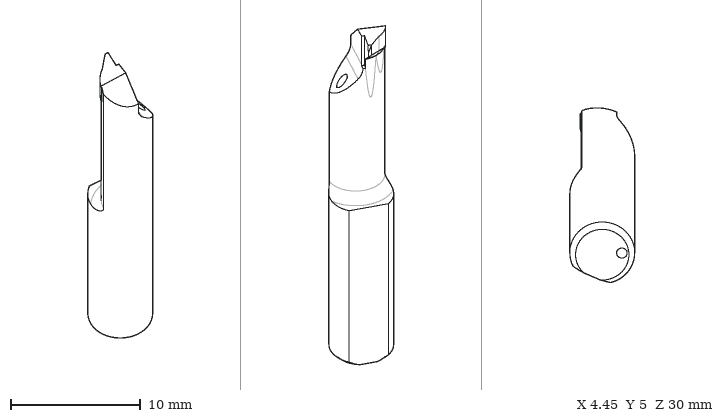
import cadquery as cq
import math

length = 30.0
shank_diameter = 5.0
shank_radius = shank_diameter / 2
width = 4.45
flat_x = width - shank_radius
shank_top = 14.8
end_chamfer = 0.45

neck_radius = 2.25
neck_left = -0.78
neck_center = neck_left + neck_radius
neck_fillet = 0.8
coolant_diameter = 0.8
coolant_x = 0.75
coolant_y = 1.32

head_bottom = 28.0
rake_wall_y = 0.1
tip_x = -1.85
tip_top_x = -1.75
tip_bend_z = 29.35
tip_bottom = 28.98
flank_x = -1.75
flank_y = -0.3
arc_start = (-0.7, -1.2)
arc_middle = (-0.03, -1.83)
arc_end = (0.75, -2.2)
top_drop = 0.1
corner_x = 0.65
top_relief = 0.07
underside_relief = 0.5

back_slope_foot = 24.1
back_slope_angle = 50.0
back_blend_radius = 1.65
groove_bottom = 27.15
groove_x = -0.35
groove_tip_y = 0.0
groove_depth_y = -0.15

facets = [(14.0, 24.27, 0.05), (42.6, 26.07, 0.085)]

margin = 3.0


def oblique_prism(points, rise):
    """Extrude an XZ polygon through the part along -Y, climbing by rise per unit."""
    start_y = margin
    travel = 2 * margin
    corners = [cq.Vector(x, start_y, z - rise * start_y) for x, z in points]
    wire = cq.Wire.makePolygon(corners, close=True)
    direction = cq.Vector(0, -travel, rise * travel)
    return cq.Workplane(obj=cq.Solid.extrudeLinear(wire, [], direction))


def make_shank():
    bar = cq.Workplane().circle(shank_radius).extrude(shank_top)
    bar = bar.faces("<Z").chamfer(end_chamfer)
    return bar.intersect(
        cq.Workplane().box(2 * margin, 2 * margin, length, centered=(False, True, False))
        .translate((-flat_x, 0, 0))
    )


def make_neck():
    fillet_top = shank_top + neck_fillet
    flare_radius = neck_radius + neck_fillet
    fillet_offset = neck_fillet * (1 - math.sqrt(0.5))
    flared = (
        cq.Workplane("XZ")
        .moveTo(0, shank_top)
        .lineTo(flare_radius, shank_top)
        .threePointArc(
            (neck_radius + fillet_offset, shank_top + fillet_offset),
            (neck_radius, fillet_top),
        )
        .lineTo(neck_radius, length)
        .lineTo(0, length)
        .close()
        .revolve(360, (0, 0), (0, 1))
        .translate((neck_center, 0, 0))
    )
    bar = cq.Workplane().circle(shank_radius).extrude(length)
    return flared.intersect(bar)


def facet_cutter(angle, low_z, depth):
    """Block whose inner face leans into the neck with increasing height."""
    height = head_bottom - low_z
    return (
        cq.Workplane("XZ")
        .polyline([
            (-neck_radius, low_z),
            (-neck_radius + depth, head_bottom),
            (-neck_radius - height, head_bottom),
        ])
        .close()
        .extrude(margin / 2, both=True)
        .rotate((0, 0, 0), (0, 0, 1), angle)
        .translate((neck_center, 0, 0))
    )


def make_head():
    outline = (
        cq.Workplane("XY", origin=(0, 0, head_bottom))
        .moveTo(tip_x, rake_wall_y)
        .lineTo(tip_x, 0)
        .lineTo(flank_x, flank_y)
        .lineTo(*arc_start)
        .threePointArc(arc_middle, arc_end)
        .lineTo(neck_center, rake_wall_y)
        .close()
        .extrude(length - head_bottom)
    )
    underside_slope = (tip_bottom - head_bottom) / (neck_left - tip_x)
    reach = 2 * margin
    underside = oblique_prism(
        [
            (tip_x - margin, tip_bottom + underside_slope * margin),
            (tip_x + reach, tip_bottom - underside_slope * reach),
            (tip_x - margin, tip_bottom - underside_slope * reach),
        ],
        underside_relief,
    )
    lean = (tip_top_x - tip_x) / (length - tip_bend_z)
    tip_end = oblique_prism(
        [
            (tip_x, tip_bend_z),
            (tip_x + lean * margin, tip_bend_z + margin),
            (tip_x - margin, tip_bend_z + margin),
        ],
        0,
    )
    return outline.cut(underside).cut(tip_end)


def top_cutter():
    """Everything above the relieved top and its 45 degree corner chamfer."""
    corner_z = length - top_drop
    far = 2 * margin
    return oblique_prism(
        [
            (-far, length),
            (tip_top_x, length),
            (corner_x, corner_z),
            (corner_x + margin, corner_z - margin),
            (far, length + far),
            (-far, length + far),
        ],
        -top_relief,
    )


def back_cutter():
    slope = math.tan(math.radians(back_slope_angle))
    corner_z = back_slope_foot + (neck_radius - rake_wall_y) * slope
    far_y = neck_radius + margin
    return (
        cq.Workplane("YZ")
        .polyline([
            (rake_wall_y, length + margin),
            (rake_wall_y, corner_z),
            (far_y, back_slope_foot - margin * slope),
            (far_y, length + margin),
        ])
        .close()
        .extrude(margin, both=True)
        .edges(cq.selectors.NearestToPointSelector((0, rake_wall_y, corner_z)))
        .fillet(back_blend_radius)
    )


def groove_cutter():
    return (
        cq.Workplane("XY", origin=(0, 0, groove_bottom))
        .polyline([
            (tip_x, groove_tip_y),
            (groove_x, groove_depth_y),
            (groove_x, margin),
            (tip_x - margin, margin),
            (tip_x - margin, groove_tip_y),
        ])
        .close()
        .extrude(length)
    )


neck = make_neck()
for facet in facets:
    neck = neck.cut(facet_cutter(*facet))

result = make_shank().union(neck).union(make_head())
for cutter in (top_cutter(), back_cutter(), groove_cutter()):
    result = result.cut(cutter)

coolant_hole = (
    cq.Workplane()
    .center(coolant_x, coolant_y)
    .circle(coolant_diameter / 2)
    .extrude(length)
)
result = result.cut(coolant_hole)